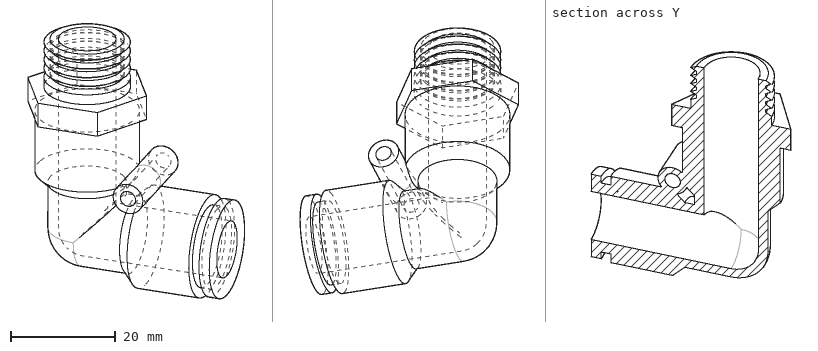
import cadquery as cq
import math


elbow_radius = 7.5
bore_radius = 5.5
sleeve_radius = 10.0
cone_start = 9.45
sleeve_start = cone_start + sleeve_radius - elbow_radius

overall_height = 49.5
hex_bottom = 24.55
hex_height = 4.95
hex_across_flats = 21.0
thread_top = overall_height - sleeve_radius
thread_radius = 8.25
root_radius = 7.1
flank_height = 0.65
thread_pitch = 1.85
thread_count = 4

sleeve_end = 24.5
neck_radius = 8.0
neck_end = 26.45
collar_radius = 9.55
arm_end = 28.5

eyelet_center = sleeve_start
eyelet_radius = 3.0
eyelet_hole_radius = 1.55
eyelet_length = 19.0


def threaded_arm():
    """Revolve the sleeve and ring-grooved thread about Z, then add the hexagon."""
    profile = [
        (0, 0),
        (elbow_radius, 0),
        (elbow_radius, cone_start),
        (sleeve_radius, sleeve_start),
        (sleeve_radius, hex_bottom),
        (thread_radius, hex_bottom),
    ]
    for index in reversed(range(thread_count)):
        crest = thread_top - flank_height - index * thread_pitch
        groove_bottom = crest - thread_pitch
        profile += [
            (thread_radius, groove_bottom),
            (root_radius, groove_bottom + flank_height),
            (root_radius, crest - flank_height),
        ]
    profile += [
        (thread_radius, thread_top - flank_height),
        (root_radius, thread_top),
        (0, thread_top),
    ]
    body = cq.Workplane("XZ").polyline(profile).close().revolve(360, (0, 0), (0, 1))
    hex_across_corners = hex_across_flats / math.cos(math.pi / 6)
    hexagon = (
        cq.Workplane("XY")
        .workplane(offset=hex_bottom)
        .polygon(6, hex_across_corners)
        .extrude(hex_height)
    )
    return body.union(hexagon)


def push_in_arm():
    """Revolve the sleeve, neck and release collar about X."""
    profile = [
        (0, 0),
        (0, elbow_radius),
        (cone_start, elbow_radius),
        (sleeve_start, sleeve_radius),
        (sleeve_end, sleeve_radius),
        (sleeve_end, neck_radius),
        (neck_end, neck_radius),
        (neck_end, collar_radius),
        (arm_end, collar_radius),
        (arm_end, 0),
    ]
    return cq.Workplane("XZ").polyline(profile).close().revolve(360, (0, 0), (1, 0))


def bore():
    """Constant bore through both arms, rounded at the outer corner."""
    vertical = cq.Workplane("XY").circle(bore_radius).extrude(thread_top)
    horizontal = cq.Workplane("YZ").circle(bore_radius).extrude(arm_end)
    return vertical.union(horizontal).union(cq.Workplane("XY").sphere(bore_radius))


def eyelet_cylinder(radius):
    return (
        cq.Workplane("XZ")
        .center(eyelet_center, eyelet_center)
        .circle(radius)
        .extrude(eyelet_length / 2, both=True)
    )


result = (
    threaded_arm()
    .union(push_in_arm())
    .union(cq.Workplane("XY").sphere(elbow_radius))
    .union(eyelet_cylinder(eyelet_radius))
    .cut(eyelet_cylinder(eyelet_hole_radius))
    .cut(bore())
)